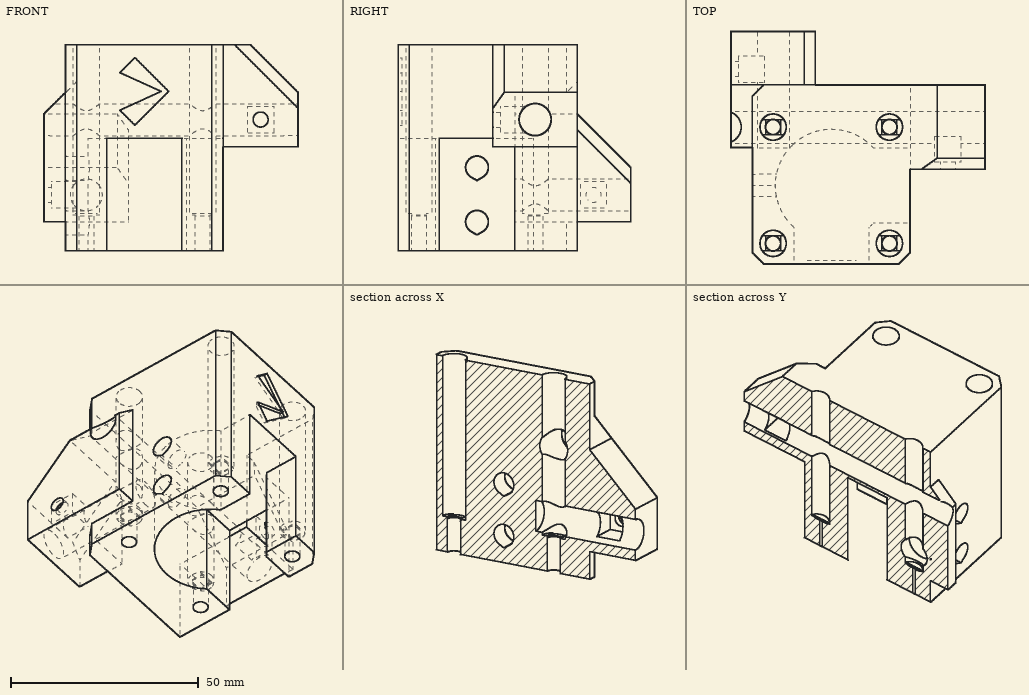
import cadquery as cq
import math

motor_size = 42.0
rod_arm_overhang = 5.75
block_x = motor_size
block_y = motor_size + rod_arm_overhang
block_z = 55.0
bevel = 3.0

center = motor_size / 2
screw_spacing = 31.0
screw_near = center - screw_spacing / 2
screw_far = center + screw_spacing / 2
screw_d = 4.0
counterbore_d = 7.0
counterbore_floor_z = 10.0
bridge_step = 0.3
cavity_d = 30.0
cavity_z = 30.0
slot_width = 20.0

rod_d = 8.5
arm_width = 22.5
arm_end = 62.0
x_rod_y = screw_far
x_rod_z = 35.0
y_rod_x = screw_near
y_rod_z = 15.0
arm_margin = 7.25
clamp_screw_d = 4.0
clamp_nut_width = 7.0
clamp_nut_start = 2.0
clamp_end_distance = 10.0
clamp_screw_pos = arm_end - clamp_end_distance
y_arm_front = 31.0

side_hole_d = 6.0
side_hole_tip_angle = 60.0

arrow_tip_x = 27.5
arrow_z = (block_z + cavity_z) / 2
arrow_half_height = 9.0
arrow_tail_step = 4.0
arrow_notch_x = 25.5
arrow_depth = 1.0


def box(x0, x1, y0, y1, z0, z1):
    return cq.Workplane("XY").box(x1 - x0, y1 - y0, z1 - z0, centered=False).translate((x0, y0, z0))


def cylinder(diameter, start, direction, length):
    return cq.Workplane(
        cq.Solid.makeCylinder(diameter / 2, length, cq.Vector(*start), cq.Vector(*direction))
    )


def make_block():
    block = box(0, block_x, 0, block_y, 0, block_z)
    beveled_corners = cq.selectors.BoxSelector((-bevel, -bevel, 0), (block_x + bevel, bevel, block_z))
    block = block.edges("|Z").edges(beveled_corners).chamfer(bevel)
    return block.edges("|Z and <X and >Y").chamfer(bevel)


def make_x_arm():
    """Arm on the +X side, sloped at 45 degrees from the block's top to its end."""
    x0 = block_x - bevel
    y0 = block_y - arm_width
    slope_end_z = x_rod_z + arm_margin
    slope_start_x = arm_end - (block_z - slope_end_z)
    arm = (
        cq.Workplane("XZ", origin=(0, block_y, 0))
        .moveTo(x0, x_rod_z - arm_margin)
        .lineTo(arm_end, x_rod_z - arm_margin)
        .lineTo(arm_end, slope_end_z)
        .lineTo(slope_start_x, block_z)
        .lineTo(x0, block_z)
        .close()
        .extrude(arm_width)
    )
    slope_middle = ((slope_start_x + arm_end) / 2, y0, (block_z + slope_end_z) / 2)
    return arm.edges(cq.NearestToPointSelector(slope_middle)).chamfer(bevel)


def make_y_arm():
    """Arm on the back-left corner, sloped toward its back end and toward the block's left side."""
    x0 = -rod_arm_overhang
    x1 = x0 + arm_width
    z0 = y_rod_z - arm_margin
    slope_end_z = y_rod_z + arm_margin
    slope_start_z = slope_end_z + arm_end - block_y
    back = (
        cq.Workplane("YZ", origin=(x0, 0, 0))
        .moveTo(block_y - bevel, z0)
        .lineTo(arm_end, z0)
        .lineTo(arm_end, slope_end_z)
        .lineTo(block_y, slope_start_z)
        .lineTo(block_y - bevel, slope_start_z)
        .close()
        .extrude(arm_width)
    )
    slope_middle = (x1, (block_y + arm_end) / 2, (slope_start_z + slope_end_z) / 2)
    back = back.edges(cq.NearestToPointSelector(slope_middle)).chamfer(bevel)
    left = (
        cq.Workplane("XZ", origin=(0, block_y, 0))
        .moveTo(x0, z0)
        .lineTo(bevel, z0)
        .lineTo(bevel, slope_start_z + (bevel - x0))
        .lineTo(x0, slope_start_z)
        .close()
        .extrude(block_y - y_arm_front)
    )
    return back.union(left)


def make_cavity():
    """Round cavity open at the bottom, with slots to the front and to the +X side."""
    half_slot = slot_width / 2
    bore = cylinder(cavity_d, (center, center, 0), (0, 0, 1), cavity_z)
    front_slot = box(center - half_slot, center + half_slot, 0, center, 0, cavity_z)
    side_slot = box(center, block_x, center - half_slot, center + half_slot, 0, cavity_z)
    return bore.union(front_slot).union(side_slot)


def make_screw_hole(x, y):
    """Through hole with a deep counterbore whose floor steps down through a slot and a square."""
    hole = cylinder(screw_d, (x, y, 0), (0, 0, 1), block_z)
    bore = cylinder(counterbore_d, (x, y, counterbore_floor_z), (0, 0, 1), block_z - counterbore_floor_z)
    r = screw_d / 2
    slot_z = counterbore_floor_z - bridge_step
    square_z = slot_z - bridge_step
    slot = box(x - counterbore_d / 2, x + counterbore_d / 2, y - r, y + r, slot_z, counterbore_floor_z)
    slot = slot.intersect(cylinder(counterbore_d, (x, y, slot_z), (0, 0, 1), bridge_step))
    square = box(x - r, x + r, y - r, y + r, square_z, slot_z)
    return hole.union(bore).union(slot).union(square)


def make_side_hole(z):
    """Drop-shaped hole through the left wall into the cavity, point down."""
    r = side_hole_d / 2
    tip_angle = math.radians(side_hole_tip_angle)
    tangent_y = r * math.cos(tip_angle)
    tangent_z = r * math.sin(tip_angle)
    return (
        cq.Workplane("YZ", origin=(0, center, z))
        .moveTo(tangent_y, -tangent_z)
        .threePointArc((0, r), (-tangent_y, -tangent_z))
        .lineTo(0, -r / math.sin(tip_angle))
        .close()
        .extrude(center)
    )


def make_arrow():
    tail_x = arrow_tip_x - arrow_half_height
    barb_x = tail_x - arrow_tail_step
    barb_z = arrow_half_height - arrow_tail_step
    return (
        cq.Workplane("XZ", origin=(0, 0, arrow_z))
        .moveTo(arrow_tip_x, 0)
        .lineTo(tail_x, arrow_half_height)
        .lineTo(barb_x, barb_z)
        .lineTo(arrow_notch_x, 0)
        .lineTo(barb_x, -barb_z)
        .lineTo(tail_x, -arrow_half_height)
        .close()
        .extrude(-arrow_depth)
    )


def make_rod_bores():
    """The X rod bore passes through; the Y rod bore is blind, as long as the left side of its arm."""
    x_length = arm_end + rod_arm_overhang
    x_bore = cylinder(rod_d, (-rod_arm_overhang, x_rod_y, x_rod_z), (1, 0, 0), x_length)
    y_bore = cylinder(rod_d, (y_rod_x, y_arm_front, y_rod_z), (0, 1, 0), arm_end - y_arm_front)
    return x_bore.union(y_bore)


def make_clamp_hole(length):
    """Screw hole along +X from the origin, widening to a square nut pocket that ends at the rod axis."""
    half_nut = clamp_nut_width / 2
    hole = cylinder(clamp_screw_d, (0, 0, 0), (1, 0, 0), length)
    pocket = box(clamp_nut_start, length, -half_nut, half_nut, -half_nut, half_nut)
    return hole.union(pocket)


def make_clamp_screw_holes():
    """One clamp hole in the -Y face of the X arm and one in the -X face of the Y arm."""
    x_arm_front = block_y - arm_width
    x_arm_hole = make_clamp_hole(x_rod_y - x_arm_front).rotate((0, 0, 0), (0, 0, 1), 90)
    x_arm_hole = x_arm_hole.translate((clamp_screw_pos, x_arm_front, x_rod_z))
    y_arm_hole = make_clamp_hole(y_rod_x + rod_arm_overhang)
    y_arm_hole = y_arm_hole.translate((-rod_arm_overhang, clamp_screw_pos, y_rod_z))
    return x_arm_hole.union(y_arm_hole)


result = make_block().union(make_x_arm()).union(make_y_arm())
result = result.cut(make_cavity()).cut(make_rod_bores()).cut(make_clamp_screw_holes())
for screw_x in (screw_near, screw_far):
    for screw_y in (screw_near, screw_far):
        result = result.cut(make_screw_hole(screw_x, screw_y))
for side in (-1, 1):
    result = result.cut(make_side_hole(y_rod_z + side * arm_margin))
result = result.cut(make_arrow())